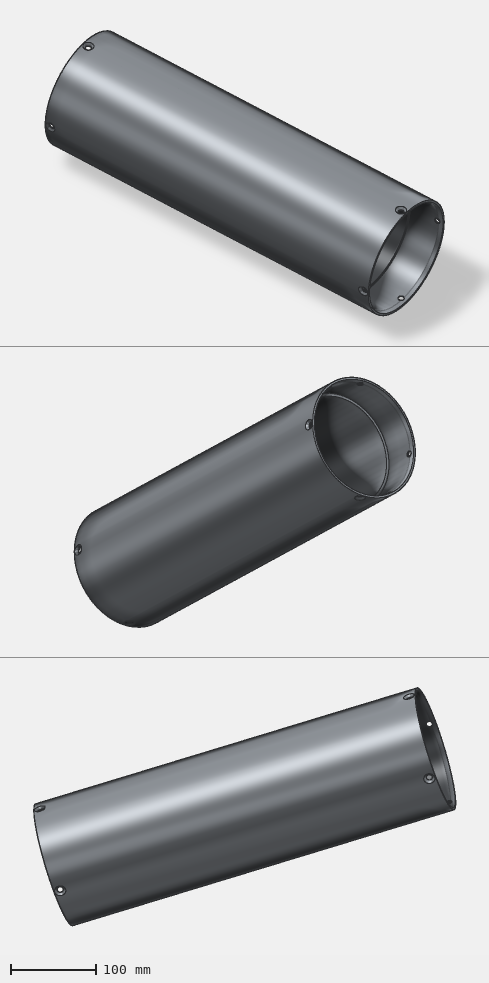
import cadquery as cq

length = 473.5
outer_diameter = 150.0
bore_diameter = 135.0
outer_radius = outer_diameter / 2
bore_radius = bore_diameter / 2
socket_radius = 71.0
socket_depth = 47.0
mouth_flare = 1.5
mouth_length = 5.0

hole_radius = 3.55
countersink_radius = 6.5
countersink_depth = countersink_radius - hole_radius
hole_inset = 7.5
holes_per_end = 4
end_positions = (hole_inset - length / 2, length / 2 - hole_inset)


def make_tube():
    """Revolve the wall section about the X axis."""
    end = length / 2
    shoulder = end - socket_depth
    mouth_radius = socket_radius + mouth_flare
    wall = [
        (-end, outer_radius),
        (end, outer_radius),
        (end, mouth_radius),
        (end - mouth_length, socket_radius),
        (shoulder, socket_radius),
        (shoulder, bore_radius),
        (-shoulder, bore_radius),
        (-shoulder, socket_radius),
        (mouth_length - end, socket_radius),
        (-end, mouth_radius),
    ]
    return cq.Workplane("XY").polyline(wall).close().revolve(360, (0, 0), (1, 0))


def make_screw_cutter(x):
    """Radial hole with a 90 degree countersink at the outer surface, pointing up."""
    sink_bottom = outer_radius - countersink_depth
    profile = [
        (0, 0),
        (hole_radius, 0),
        (hole_radius, sink_bottom),
        (countersink_radius, outer_radius),
        (0, outer_radius),
    ]
    cutter = cq.Workplane("XZ").polyline(profile).close().revolve(360, (0, 0), (0, 1))
    return cutter.translate((x, 0, 0))


result = make_tube()
for x in end_positions:
    for index in range(holes_per_end):
        angle = index * 360 / holes_per_end
        result = result.cut(make_screw_cutter(x).rotate((0, 0, 0), (1, 0, 0), angle))